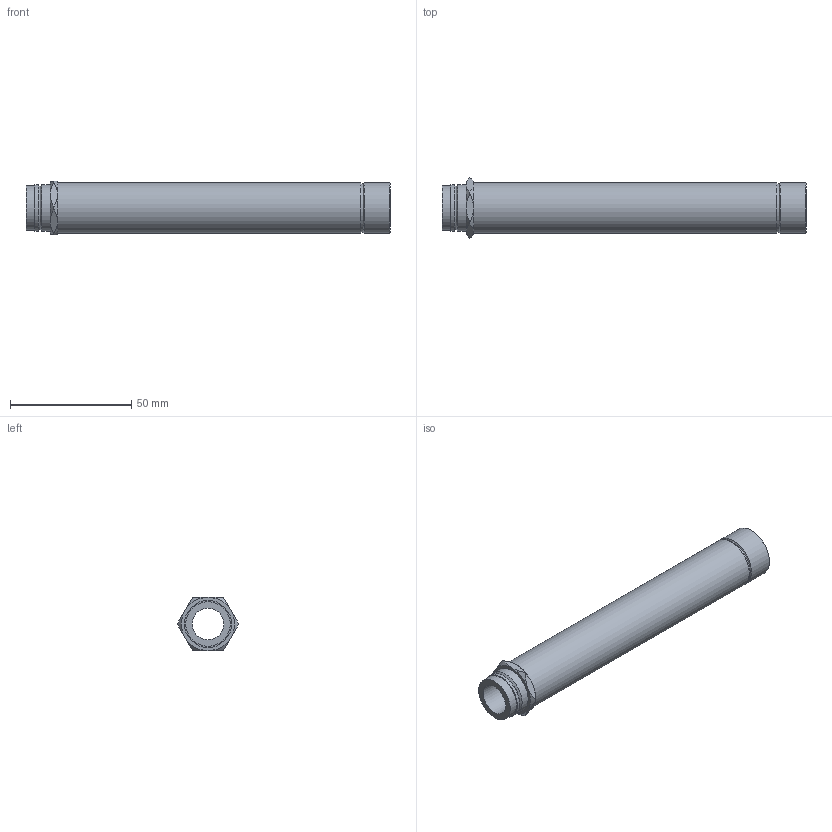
import cadquery as cq
import math

total_length = 150.0
lead_length = 3.7
seal_groove_start = 5.0
seal_groove_width = 1.5
flange_start = 10.0
flange_thickness = 3.0
collar_groove_start = 138.0
collar_groove_width = 1.0

bore_diameter = 13.0
lead_diameter = 18.4
spigot_diameter = 19.3
body_diameter = 21.0

seal_groove_depth = 0.75
collar_groove_depth = 0.5
edge_chamfer = 0.3
hex_sides = 6
hex_across_flats = 22.0
hex_tip_diameter = 25.0
hex_face_diameter = hex_across_flats


def revolve_about_x(points):
    """Turn a closed (x, radius) outline about the X axis."""
    return cq.Workplane("XY").polyline(points).close().revolve(360, (0, 0, 0), (1, 0, 0))


def make_spigot():
    """Stepped spigot with a V-shaped seal groove."""
    lead_radius = lead_diameter / 2
    radius = spigot_diameter / 2
    groove_middle = seal_groove_start + seal_groove_width / 2
    return revolve_about_x([
        (0, 0),
        (0, lead_radius),
        (lead_length, lead_radius),
        (lead_length, radius),
        (seal_groove_start, radius),
        (groove_middle, radius - seal_groove_depth),
        (seal_groove_start + seal_groove_width, radius),
        (flange_start, radius),
        (flange_start, 0),
    ])


def make_flange():
    """Hexagon with flats facing up and down and its corners bevelled on both faces."""
    flange_end = flange_start + flange_thickness
    face_radius = hex_face_diameter / 2
    corner_diameter = hex_across_flats / math.cos(math.pi / hex_sides)
    hexagon = (
        cq.Workplane("YZ", origin=(flange_start, 0, 0))
        .polygon(hex_sides, corner_diameter)
        .extrude(flange_thickness)
    )
    bevel = revolve_about_x([
        (flange_start, 0),
        (flange_start, face_radius),
        (flange_start + flange_thickness / 2, hex_tip_diameter / 2),
        (flange_end, face_radius),
        (flange_end, 0),
    ])
    return hexagon.intersect(bevel)


def make_body():
    """Long cylinder and end collar, parted by a narrow groove."""
    radius = body_diameter / 2
    groove_radius = radius - collar_groove_depth
    collar_start = collar_groove_start + collar_groove_width
    return revolve_about_x([
        (flange_start, 0),
        (flange_start, radius),
        (collar_groove_start, radius),
        (collar_groove_start, groove_radius),
        (collar_start, groove_radius),
        (collar_start + edge_chamfer, radius),
        (total_length - edge_chamfer, radius),
        (total_length, radius - edge_chamfer),
        (total_length, 0),
    ])


bore = cq.Workplane("YZ").circle(bore_diameter / 2).extrude(total_length)

result = make_spigot().union(make_flange()).union(make_body()).cut(bore)